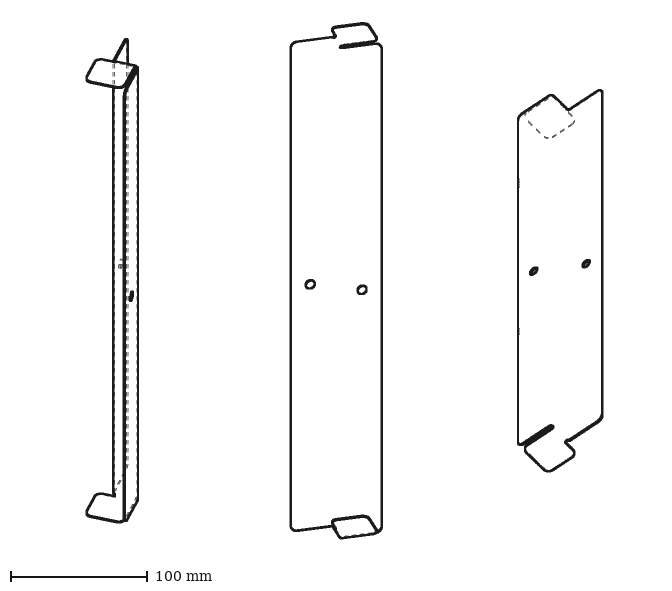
import cadquery as cq

width = 32.0
depth = 64.0
height = 404.0

sheet = 1.0
inner_radius = 1.0
outer_radius = inner_radius + sheet
body_height = height - 2 * outer_radius
corner_radius = 5.0

rear_flange_x = 11.7
web_back_y = depth / 2
web_front_y = web_back_y - sheet

plate_width = 29.5
plate_front_y = 2.0
plate_back_y = web_back_y - outer_radius
plate_corner_radius = 5.0

hole_diameter = 7.0
front_hole_y = 15.0
rear_hole_y = 49.0


def sheet_box(x_range, y_range, z_range):
    """Box between the low and high limits on each axis."""
    ranges = (x_range, y_range, z_range)
    sizes = [high - low for low, high in ranges]
    lows = tuple(low for low, high in ranges)
    return cq.Workplane("XY").box(*sizes, centered=False).translate(lows)


def bent_section():
    """Z-shaped sheet with both bends, extruded along Z."""
    section = (
        cq.Workplane("XY")
        .moveTo(rear_flange_x, web_front_y)
        .lineTo(width - sheet, web_front_y)
        .lineTo(width - sheet, 0)
        .lineTo(width, 0)
        .lineTo(width, web_back_y)
        .lineTo(rear_flange_x + sheet, web_back_y)
        .lineTo(rear_flange_x + sheet, depth)
        .lineTo(rear_flange_x, depth)
        .close()
        .extrude(body_height)
        .translate((0, 0, -body_height / 2))
    )
    outside_corners = ((rear_flange_x, web_front_y), (width, web_back_y))
    inside_corners = ((rear_flange_x + sheet, web_back_y), (width - sheet, web_front_y))
    for corners, radius in ((outside_corners, outer_radius), (inside_corners, inner_radius)):
        for x, y in corners:
            section = section.edges(cq.NearestToPointSelector((x, y, 0))).fillet(radius)
    return section


def round_flange_corners(body):
    """Round the free corners of both flanges."""
    return body.faces("<Y or >Y").edges("|X").fillet(corner_radius)


def top_end_plate():
    """Flat end plate joined to the top of the web by a quarter bend."""
    plate = sheet_box(
        (0, plate_width),
        (plate_front_y, plate_back_y),
        (height / 2 - sheet, height / 2),
    )
    plate = plate.edges("|Z and (<X or <Y)").fillet(plate_corner_radius)
    bend_start_x = rear_flange_x + outer_radius
    bend = (
        cq.Workplane("YZ", origin=(bend_start_x, 0, 0))
        .moveTo(web_back_y, body_height / 2)
        .radiusArc((plate_back_y, height / 2), -outer_radius)
        .lineTo(plate_back_y, height / 2 - sheet)
        .radiusArc((web_front_y, body_height / 2), inner_radius)
        .close()
        .extrude(plate_width - bend_start_x)
    )
    return plate.union(bend)


def mounting_holes():
    """Cutters along X through the middle of each flange."""
    return (
        cq.Workplane("YZ")
        .pushPoints([(front_hole_y, 0), (rear_hole_y, 0)])
        .circle(hole_diameter / 2)
        .extrude(width)
    )


body = round_flange_corners(bent_section()).cut(mounting_holes())
top_plate = top_end_plate()
result = body.union(top_plate).union(top_plate.mirror("XY"))